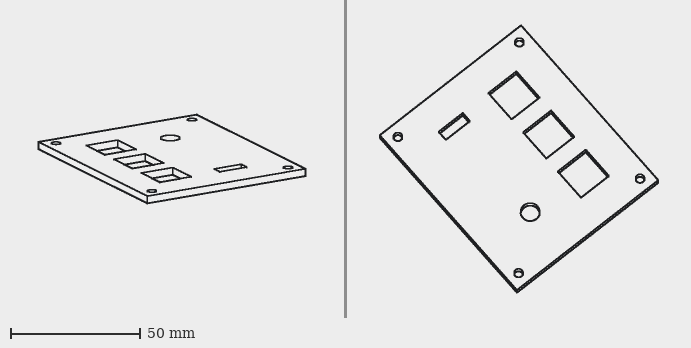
import cadquery as cq

length = 83
width = 71.0
thickness = 3.0

mount_diameter = 3.5
mount_inset = 5

key_count = 3
key_size = 14.0
key_pitch = 21.0
key_margin = 13.5
first_key_x = key_margin + key_size / 2
key_y = key_margin + key_size / 2

upper_row_y = 46.5
round_diameter = 7.4
round_x = 21.5
slot_length = 12.1
slot_width = 4.3

last_key_right = key_margin + (key_count - 1) * key_pitch + key_size
slot_x = last_key_right - slot_width / 2


def round_cutter(x, y, diameter):
    return cq.Workplane("XY").center(x, y).circle(diameter / 2).extrude(thickness)


def rectangle_cutter(x, y, size_x, size_y):
    return cq.Workplane("XY").center(x, y).rect(size_x, size_y).extrude(thickness)


result = cq.Workplane("XY").box(length, width, thickness, centered=False)

for x in (mount_inset, length - mount_inset):
    for y in (mount_inset, width - mount_inset):
        result = result.cut(round_cutter(x, y, mount_diameter))

for i in range(key_count):
    key_x = first_key_x + i * key_pitch
    result = result.cut(rectangle_cutter(key_x, key_y, key_size, key_size))

result = result.cut(round_cutter(round_x, upper_row_y, round_diameter))
result = result.cut(rectangle_cutter(slot_x, upper_row_y, slot_width, slot_length))